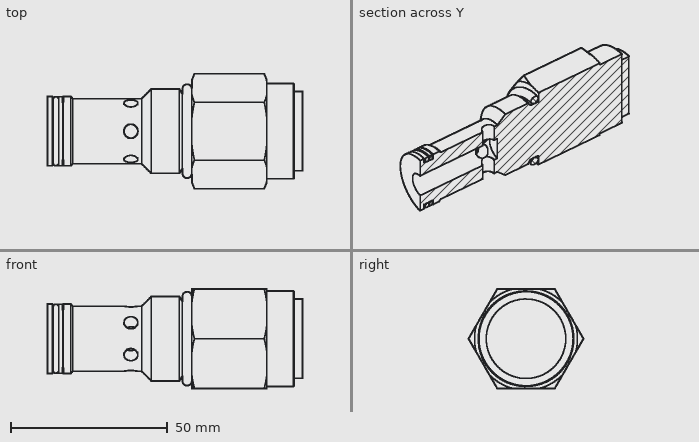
import cadquery as cq
import math

total_length = 81.3

sleeve_dia = 20.8
land_dia = 22.2
land_end = 7.4
bore_dia = 8.45

groove_start = 1.55
groove_end = 5.0
tip_seal_dia = 22.1
tip_o_ring_section = 1.8
tip_o_ring_x = 2.7
backup_ring_width = 1.2
groove_floor_dia = tip_seal_dia - 2 * tip_o_ring_section

port_count = 6
port_dia = 4.4
port_x = 26.6

shoulder_dia = 27.0
shoulder_cone_start = 30.0
shoulder_end = 42.0
shoulder_back_length = 0.9

neck_dia = 24.0
neck_o_ring_section = 3.0

hex_sides = 6
hex_flats = 31.8
hex_start = 46.0
hex_end = 69.9
hex_face_dia = 32.8
hex_chamfer_length = 0.8
hex_corner_dia = hex_flats / math.cos(math.pi / hex_sides)

collar_dia = 30.5
collar_end = 78.6
collar_chamfer = 0.25
plug_dia = 25.4


def turned(profile):
    """Turn a closed outline of (x, radius) points about the X axis."""
    return cq.Workplane("XY").polyline(profile).close().revolve(360, (0, 0, 0), (1, 0, 0))


def cylinder(dia, start, end):
    """A solid cylinder along X."""
    return cq.Workplane("YZ", origin=(start, 0, 0)).circle(dia / 2).extrude(end - start)


def o_ring(outer_dia, section_dia, x):
    """A torus about X with its centre plane at x."""
    centre_radius = (outer_dia - section_dia) / 2
    section = cq.Workplane("XY").center(x, centre_radius).circle(section_dia / 2)
    return section.revolve(360, (-x, -centre_radius, 0), (0.8 - x, -centre_radius, 0))


def make_stem():
    """Sleeve, shoulder and neck up to the hexagon face."""
    sleeve_r = sleeve_dia / 2
    land_r = land_dia / 2
    floor_r = groove_floor_dia / 2
    shoulder_r = shoulder_dia / 2
    neck_r = neck_dia / 2
    return turned([
        (0, 0),
        (0, land_r),
        (groove_start, land_r),
        (groove_start, floor_r),
        (groove_end, floor_r),
        (groove_end, land_r),
        (land_end, land_r),
        (land_end + land_r - sleeve_r, sleeve_r),
        (shoulder_cone_start, sleeve_r),
        (shoulder_cone_start + shoulder_r - sleeve_r, shoulder_r),
        (shoulder_end, shoulder_r),
        (shoulder_end + shoulder_back_length, neck_r),
        (hex_start, neck_r),
        (hex_start, 0),
    ])


def make_hexagon():
    """Hexagon with its flats up and down and its corners cut by cones at both ends."""
    blank = (
        cq.Workplane("YZ", origin=(hex_start, 0, 0))
        .polygon(hex_sides, hex_corner_dia)
        .extrude(hex_end - hex_start)
    )
    corner_envelope = turned([
        (hex_start, 0),
        (hex_start, hex_face_dia / 2),
        (hex_start + hex_chamfer_length, hex_corner_dia / 2),
        (hex_end - hex_chamfer_length, hex_corner_dia / 2),
        (hex_end, hex_face_dia / 2),
        (hex_end, 0),
    ])
    return blank.intersect(corner_envelope)


def make_body():
    collar = cylinder(collar_dia, hex_end, collar_end).faces(">X").chamfer(collar_chamfer)
    body = make_stem().union(make_hexagon()).union(collar)
    body = body.cut(cylinder(bore_dia, 0, shoulder_cone_start))
    port = cq.Workplane("XY", origin=(port_x, 0, 0)).circle(port_dia / 2).extrude(sleeve_dia)
    for index in range(port_count):
        body = body.cut(port.rotate((0, 0, 0), (1, 0, 0), index * 360 / port_count))
    return body


def make_backup_ring():
    """Flat ring in the seal groove, touching the tip O-ring."""
    start = tip_o_ring_x + tip_o_ring_section / 2
    end = start + backup_ring_width
    return cylinder(tip_seal_dia, start, end).cut(cylinder(groove_floor_dia, start, end))


def make_neck_o_ring():
    """Large O-ring seated on the neck and against the hexagon face."""
    outer_dia = neck_dia + 2 * neck_o_ring_section
    return o_ring(outer_dia, neck_o_ring_section, hex_start - neck_o_ring_section / 2)


body = make_body()
tip_o_ring = o_ring(tip_seal_dia, tip_o_ring_section, tip_o_ring_x)
backup_ring = make_backup_ring()
neck_o_ring = make_neck_o_ring()
end_plug = cylinder(plug_dia, collar_end, total_length)

result = cq.Compound.makeCompound([
    body.val(),
    tip_o_ring.val(),
    backup_ring.val(),
    neck_o_ring.val(),
    end_plug.val(),
])